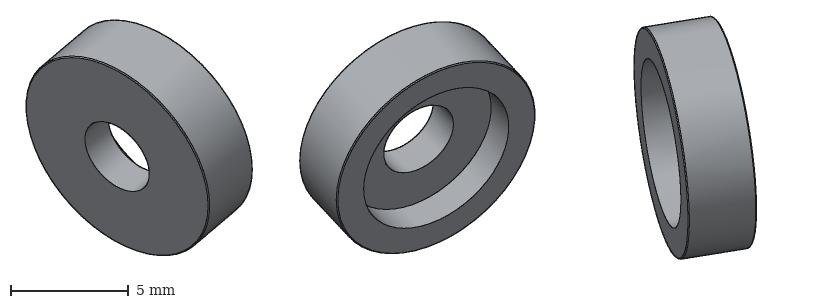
import cadquery as cq

outer_diameter = 10.0
bore_diameter = 3.5
recess_diameter = 7.3
thickness = 3.0
recess_depth = 1.4
edge_chamfer = 0.05

mid_plane = cq.Workplane("XZ")
disc = mid_plane.cylinder(thickness, outer_diameter / 2)

disc = disc.faces("<Y or >Y").edges().chamfer(edge_chamfer)

bore = mid_plane.cylinder(thickness, bore_diameter / 2)

recess_floor = mid_plane.workplane(offset=recess_depth - thickness / 2)
recess = recess_floor.circle(recess_diameter / 2).extrude(-recess_depth)

result = disc.cut(bore).cut(recess)